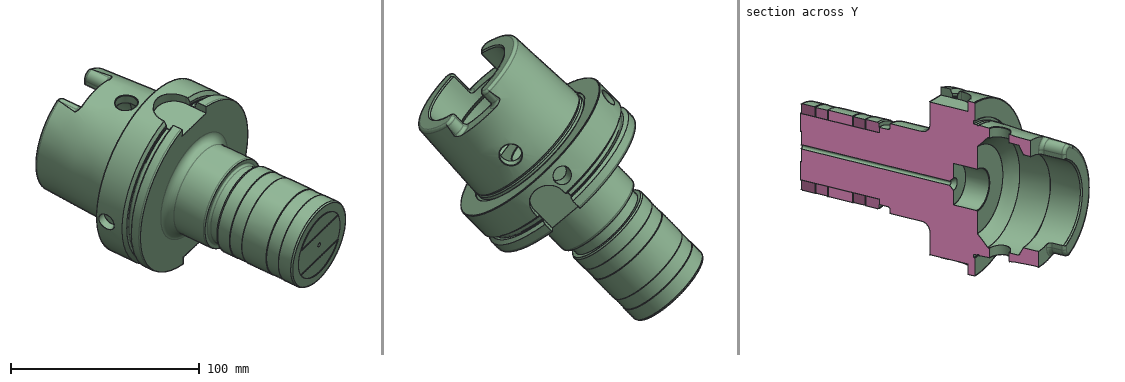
import cadquery as cq
import math


shank_length = 50.0
taper_radius = 37.65
taper_slope = 1 / 20
taper_end_x = -2.8
relief_x = -1.8
root_land_x = -0.9
relief_radius = 37.15
face_groove_radius = 39.3
face_groove_depth = 0.8
shank_end_fillet = 1.7
cross_hole_x = -15.25
cross_hole_diameter = 12.0
cross_hole_chamfer = 0.3

notch_width = 19.6
notch_top_height = 32.05
notch_flare_radius = 4.6
notch_shoulder_angle = 10.0
notch_floor_fillet = 2.0
upper_notch_depth = 15.0
lower_notch_depth = 10.0

bore_radius = 26.6
bore_chamfer = 0.8
bore_length = 19.7
clamp_radius = 31.5
clamp_angle = 60.0
clamp_end_x = -8.0
floor_radius = 25.0
thread_radius = 11.8
thread_chamfer = 0.3
thread_depth = 15.0
countersink_radius = 3.5
coolant_radius = 1.1

flange_radius = 50.0
flange_width = 28.6
flange_front_chamfer = 0.4
edge_break_length = 1.0
edge_break_height = 0.25
groove_center_x = 19.8
groove_width = 3.2
groove_root_radius = 45.8
groove_flare_start = 47.6
groove_flank_angle = 30.0
groove_root_fillet = 0.4

pocket_start_x = 4.5
pocket_floor_height = 44.0
upper_pocket_width = 22.0
lower_pocket_width = 20.0
flange_hole_diameter = 10.0
chip_hole_x = 6.8
chip_hole_floor_radius = 45.0
side_hole_x = 8.5
side_hole_angle = 72.0
side_hole_floor_radius = 38.0

collar_radius = 26.0
collar_fillet = 5.0
collar_end_x = 53.6
neck_radius = 22.35
neck_fillet = 1.3
spigot_radius = 19.3
spigot_end_x = 109.9
tip_slot_width = 17.4

ring_radius = 25.0
band_radius = 24.8
band_gap = 0.3
ring_bounds = [60.3, 68.8, 76.9, 92.5, 100.6, 109.5]
ring_chamfer_length = 1.0
ring_chamfer_height = 0.5


def holder_outline():
    """Outer half profile of the holder, closed along the axis."""
    shank_end_x = -shank_length
    end_radius = taper_radius - taper_slope * (taper_end_x - shank_end_x)
    break_radius = flange_radius - edge_break_height
    groove_left = groove_center_x - groove_width / 2
    groove_right = groove_center_x + groove_width / 2
    flank = (flange_radius - groove_flare_start) * math.tan(math.radians(groove_flank_angle))
    fillet_middle = collar_fillet * (1 - math.sqrt(0.5))
    return (
        cq.Workplane("XY")
        .moveTo(shank_end_x, 0)
        .lineTo(shank_end_x, end_radius)
        .lineTo(taper_end_x, taper_radius)
        .lineTo(relief_x, relief_radius)
        .lineTo(root_land_x, taper_radius)
        .lineTo(face_groove_depth, taper_radius)
        .lineTo(face_groove_depth, face_groove_radius)
        .lineTo(0, face_groove_radius)
        .lineTo(0, flange_radius - flange_front_chamfer)
        .lineTo(flange_front_chamfer, flange_radius)
        .lineTo(groove_left - flank, flange_radius)
        .lineTo(groove_left, groove_flare_start)
        .lineTo(groove_left, groove_root_radius + groove_root_fillet)
        .radiusArc((groove_left + groove_root_fillet, groove_root_radius), -groove_root_fillet)
        .lineTo(groove_right - groove_root_fillet, groove_root_radius)
        .radiusArc((groove_right, groove_root_radius + groove_root_fillet), -groove_root_fillet)
        .lineTo(groove_right, groove_flare_start)
        .lineTo(groove_right + flank, flange_radius)
        .lineTo(flange_width - edge_break_length, flange_radius)
        .lineTo(flange_width, break_radius)
        .lineTo(flange_width, collar_radius + collar_fillet)
        .threePointArc(
            (flange_width + fillet_middle, collar_radius + fillet_middle),
            (flange_width + collar_fillet, collar_radius),
        )
        .lineTo(collar_end_x - edge_break_length, collar_radius)
        .lineTo(collar_end_x, collar_radius - edge_break_height)
        .lineTo(collar_end_x, neck_radius + neck_fillet)
        .radiusArc((collar_end_x + neck_fillet, neck_radius), -neck_fillet)
        .lineTo(ring_bounds[0], neck_radius)
        .lineTo(ring_bounds[0], spigot_radius)
        .lineTo(spigot_end_x, spigot_radius)
        .lineTo(spigot_end_x, 0)
        .close()
    )


def bore_outline():
    """Half profile of the clamping bore, the threaded bore and the coolant hole."""
    open_x = -shank_length
    shoulder_x = open_x + bore_length
    shoulder_run = (clamp_radius - bore_radius) / math.tan(math.radians(clamp_angle))
    floor_x = clamp_end_x + clamp_radius - floor_radius
    thread_end_x = floor_x + thread_depth
    return (
        cq.Workplane("XY")
        .moveTo(open_x, 0)
        .lineTo(open_x, bore_radius + bore_chamfer)
        .lineTo(open_x + bore_chamfer, bore_radius)
        .lineTo(shoulder_x, bore_radius)
        .lineTo(shoulder_x + shoulder_run, clamp_radius)
        .lineTo(clamp_end_x, clamp_radius)
        .lineTo(floor_x, floor_radius)
        .lineTo(floor_x, thread_radius + thread_chamfer)
        .lineTo(floor_x + thread_chamfer, thread_radius)
        .lineTo(thread_end_x, thread_radius)
        .lineTo(thread_end_x, countersink_radius)
        .lineTo(thread_end_x + countersink_radius - coolant_radius, coolant_radius)
        .lineTo(spigot_end_x, coolant_radius)
        .lineTo(spigot_end_x, 0)
        .close()
    )


def revolved(outline):
    return outline.revolve(360, (0, 0, 0), (1, 0, 0))


def drive_notch(depth):
    """Cutter for the notch on the +Z side, with rounded floor edges."""
    side = notch_width / 2
    flare_y = side + notch_flare_radius
    flare_z = notch_top_height - notch_flare_radius
    middle = notch_flare_radius * math.sqrt(0.5)
    slope = math.radians(notch_shoulder_angle)
    shoulder_y = flare_y + notch_flare_radius * math.sin(slope)
    shoulder_z = flare_z + notch_flare_radius * math.cos(slope)
    outer = flange_radius
    outer_z = shoulder_z - (outer - shoulder_y) * math.tan(slope)
    cutter = (
        cq.Workplane("YZ", origin=(-shank_length, 0, 0))
        .moveTo(-side, 0)
        .lineTo(side, 0)
        .lineTo(side, flare_z)
        .threePointArc((flare_y - middle, flare_z + middle), (shoulder_y, shoulder_z))
        .lineTo(outer, outer_z)
        .lineTo(outer, outer)
        .lineTo(-outer, outer)
        .lineTo(-outer, outer_z)
        .lineTo(-shoulder_y, shoulder_z)
        .threePointArc((middle - flare_y, flare_z + middle), (-side, flare_z))
        .close()
        .extrude(depth)
    )
    return cutter.faces(">X").edges().fillet(notch_floor_fillet)


def notched_block():
    """Block around the whole holder with both notches cut and their mouth edges rounded."""
    size = 2 * flange_radius
    block = cq.Workplane("YZ", origin=(-shank_length, 0, 0)).rect(size, size)
    block = block.extrude(shank_length + spigot_end_x)
    block = block.cut(drive_notch(upper_notch_depth))
    block = block.cut(half_turn(drive_notch(lower_notch_depth)))
    mouth_edges = block.faces("<X").edges("not(<Y or >Y)")
    return mouth_edges.fillet(shank_end_fillet)


def flange_pocket(width):
    """Cutter for the round-ended gripper pocket on the +Z side of the flange."""
    radius = width / 2
    length = flange_width - pocket_start_x
    plane = cq.Workplane("XY", origin=(pocket_start_x, 0, pocket_floor_height))
    return (
        plane.moveTo(length, -radius)
        .lineTo(length, radius)
        .lineTo(radius, radius)
        .threePointArc((0, 0), (radius, -radius))
        .close()
        .extrude(flange_radius - pocket_floor_height)
    )


def flange_hole(x, bottom_radius, angle):
    """Flat-bottomed radial hole, turned by the angle from -Y towards -Z."""
    plane = cq.Workplane("XZ", origin=(x, -bottom_radius, 0))
    hole = plane.circle(flange_hole_diameter / 2).extrude(flange_radius - bottom_radius)
    return hole.rotate((0, 0, 0), (1, 0, 0), angle)


def half_turn(cutter):
    """Move a cutter from the +Z side to the -Z side."""
    return cutter.rotate((0, 0, 0), (1, 0, 0), 180)


def cross_hole():
    """Hole through both walls of the shank, parallel to Z."""
    hole = cq.Workplane("XY", origin=(cross_hole_x, 0, -flange_radius))
    return hole.circle(cross_hole_diameter / 2).extrude(2 * flange_radius)


def chamfer_cross_hole(body):
    """Break the two outer edges of the cross hole."""
    reach = cross_hole_diameter / 2 + cross_hole_chamfer
    wall_middle = (clamp_radius + taper_radius) / 2
    for low, high in ((wall_middle, flange_radius), (-flange_radius, -wall_middle)):
        mouth = cq.selectors.BoxSelector(
            (cross_hole_x - reach, -reach, low), (cross_hole_x + reach, reach, high), boundingbox=True
        )
        body = body.edges(mouth).chamfer(cross_hole_chamfer)
    return body


def build_holder():
    body = revolved(holder_outline())
    body = body.faces("<X").edges().fillet(shank_end_fillet)
    body = body.intersect(notched_block())
    body = body.cut(revolved(bore_outline()))
    body = chamfer_cross_hole(body.cut(cross_hole()))
    body = body.cut(flange_pocket(upper_pocket_width))
    body = body.cut(half_turn(flange_pocket(lower_pocket_width)))
    body = body.cut(flange_hole(chip_hole_x, chip_hole_floor_radius, 0))
    body = body.cut(flange_hole(side_hole_x, side_hole_floor_radius, side_hole_angle))
    tip_height = spigot_end_x - ring_bounds[-1]
    tip_slot = cq.Workplane("XY").box(tip_height, 2 * spigot_radius, tip_slot_width)
    return body.cut(tip_slot.translate((spigot_end_x - tip_height / 2, 0, 0)))


def build_ring(start_x, end_x, radius):
    """Plain ring around the spigot."""
    ring = cq.Workplane("YZ", origin=(start_x, 0, 0)).circle(radius).circle(spigot_radius)
    return ring.extrude(end_x - start_x)


def chamfer_rim(ring, face):
    """Chamfer the outer edge on one end of a ring."""
    outer_edge = ring.faces(face).edges(cq.selectors.RadiusNthSelector(-1))
    return outer_edge.chamfer(ring_chamfer_length, ring_chamfer_height)


holder = build_holder()

rings = []
for index, (start, end) in enumerate(zip(ring_bounds, ring_bounds[1:])):
    is_band = index % 2 == 1
    if is_band:
        rings.append(build_ring(start + band_gap, end - band_gap, band_radius))
    else:
        rings.append(build_ring(start, end, ring_radius))
rings[0] = chamfer_rim(rings[0], "<X")
rings[-1] = chamfer_rim(rings[-1], ">X")

result = cq.Compound.makeCompound([holder.val(), *[ring.val() for ring in rings]])